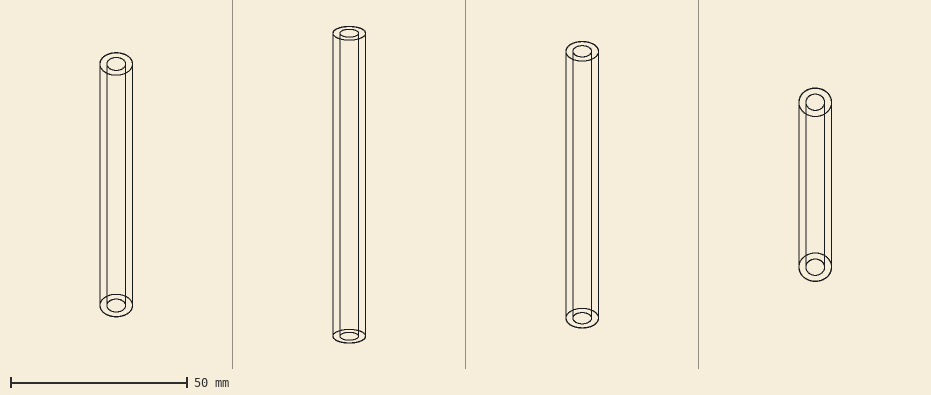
import cadquery as cq

length = 94.6
outer_diameter = 9.3
bore_diameter = 5.3

result = (
    cq.Workplane("XY")
    .circle(outer_diameter / 2)
    .circle(bore_diameter / 2)
    .extrude(length)
)